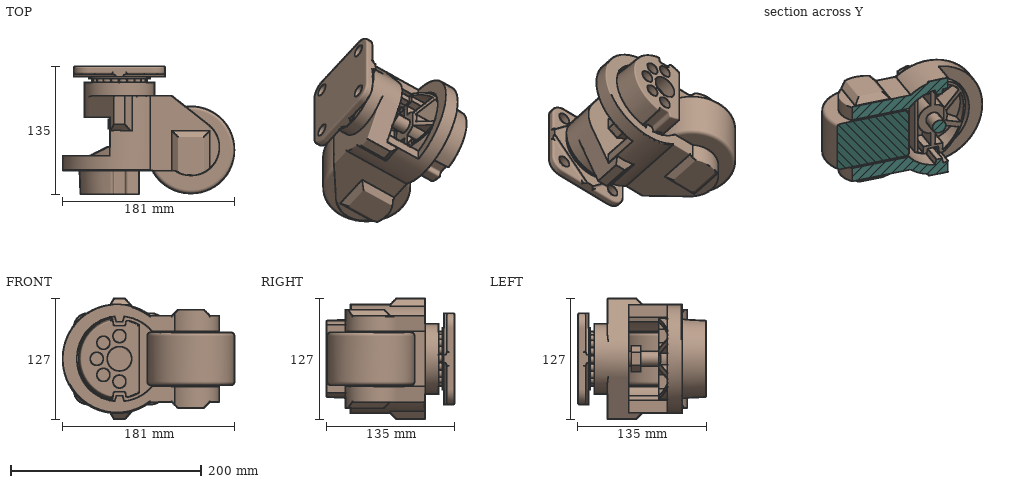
import cadquery as cq
import math


PLATE_DEPTH = 11.4
WASHER_DEPTH = 13.0
HOUSING_START = 17.0
FORK_START = 31.1
WALL_END = 53.8
RING_START = 94.1
FORK_END = 109.9
PLUG_END = 135.0

PLATE_HALF = 48.1
PLATE_CORNER_RADIUS = 15.2
PLATE_EDGE_ROUND = 2.2
POCKET_FLOOR_DEPTH = 8.5
POCKET_WALL_OFFSET = 37.0
POCKET_FILLET = 2.2
BOLT_PLACE = PLATE_HALF - PLATE_CORNER_RADIUS
BOLT_HOLE_RADIUS = 6.7

WASHER_RADIUS = 32.5
BALL_COUNT = 18
BALL_RADIUS = 4.0
BALL_CIRCLE_RADIUS = 25.2
FIRST_BALL_ANGLE = 101.5
HOUSING_RADIUS = 37.1

ROD_RADIUS = 7.8
NUT_START = 56.1
NUT_THICKNESS = 10.0
NUT_ACROSS_CORNERS = 27.5

RING_RADIUS = 57.4
RING_CENTRE_X = -2.5
BORE_RADIUS = 44.9
WINDOW_FACE_X = -10.1
EDGE_ROUND = 0.9
ARM_OUTER_Z = 45.5
SLOT_HALF = 29.0
ARM_END_X = 75.3
ARM_END_DEPTH = 85.3
ARM_END_RADIUS = 29.9
WALL_END_X = 55.0
BOSS_TOP_Z = 51.8
BOSS_LEFT_X = 55.2
BOSS_RIGHT_X = 95.0
BOSS_START = 68.0
BOSS_EDGE_ROUND = 0.7

LUG_TOP_Z = 63.5
LUG_LEFT_X = -5.8
LUG_RIGHT_X = 5.8
LUG_FOOT_X = 13.8
LUG_FOOT_Z = 54.7
LUG_END = 61.4
LUG_FOOT_DEPTH = 68.0

TAB_TIP_Z = 39.0
TAB_TIP_HALF = 3.3
TAB_ROOT_HALF = 4.9
TAB_ROOT_Z = 44.0
TAB_BURIED_Z = 46.7
NOTCH_FLOOR_Z = 34.8
NOTCH_FLOOR_HALF = 6.2
NOTCH_MOUTH_HALF = 7.6
NOTCH_MOUTH_Z = 45.6
NOTCH_ROUND = 1.8
NOTCH_LIP_ROUND = 2.2
NOTCH_LIP_Z = 39.3

PLUG_START = 84.9
PLUG_START_RADIUS = 43.8
PLUG_END_RADIUS = 41.3
PLUG_FLAT_X = 20.6
PLUG_EDGE_ROUND = 1.5
PLUG_SLOPE_X = -12.5
PLUG_SLOPE_FAR_X = -30.8
CUP_FLOOR_DEPTH = 108.6
CUP_RADIUS = 40.5
CUP_FLAT_X = 17.2
HUB_RADIUS = 17.0
RIB_THICKNESS = 5.5
RIB_ANGLES = (90, 150, 210, 270)
CENTRE_HOLE_RADIUS = 12.9
SMALL_HOLE_RADIUS = 6.9
HOLE_CIRCLE_RADIUS = 23.9
SMALL_HOLE_ANGLES = (90, 135, 180, 225, 270)
HOLE_DEPTH = 15.0

WHEEL_X = 75.1
WHEEL_DEPTH = 88.1
WHEEL_RADIUS = 46.0
WHEEL_HALF_WIDTH = 27.9
WHEEL_ROUND = 3.8
WHEEL_CLEARANCE = 1.0

REACH = 181.0


def at_depth(depth):
    """Plane facing -Y at the given depth; its axes are X and Z."""
    return cq.Workplane("XZ").workplane(offset=depth)


def disc(radius, start, end, x=0.0, z=0.0):
    return at_depth(start).center(x, z).circle(radius).extrude(end - start)


def block(x_min, x_max, depth_min, depth_max, half_z):
    size_x = x_max - x_min
    size_y = depth_max - depth_min
    middle = ((x_min + x_max) / 2, -(depth_min + depth_max) / 2, 0)
    return cq.Workplane("XY").box(size_x, size_y, 2 * half_z).translate(middle)


def with_mirror(shape):
    """The shape together with its mirror image below Z = 0."""
    return shape.union(shape.mirror("XY"))


def rounded_square(thickness):
    side = 2 * PLATE_HALF
    return at_depth(0).rect(side, side).extrude(thickness).edges("|Y").fillet(PLATE_CORNER_RADIUS)


def mounting_plate():
    plate = rounded_square(POCKET_FLOOR_DEPTH).faces(">Y or <Y").edges().fillet(PLATE_EDGE_ROUND)

    wall_cut = block(POCKET_WALL_OFFSET, REACH, POCKET_FLOOR_DEPTH, REACH, REACH)
    wall_cut = wall_cut.edges("<X and >Y").fillet(POCKET_FILLET)
    floor_start = POCKET_WALL_OFFSET + POCKET_FILLET
    floor_cut = block(floor_start, REACH, POCKET_FLOOR_DEPTH - PLATE_EDGE_ROUND, REACH, REACH)
    pocket = wall_cut.union(floor_cut)
    field = rounded_square(PLATE_DEPTH).faces(">Y").edges().fillet(PLATE_EDGE_ROUND)
    for corner in range(4):
        field = field.cut(pocket.rotate((0, 0, 0), (0, 1, 0), 45 + 90 * corner))
    plate = plate.union(field)

    places = [(sx * BOLT_PLACE, sz * BOLT_PLACE) for sx in (-1, 1) for sz in (-1, 1)]
    holes = at_depth(0).pushPoints(places).circle(BOLT_HOLE_RADIUS).extrude(PLATE_DEPTH)
    return plate.cut(holes)


def bearing():
    bodies = disc(WASHER_RADIUS, PLATE_DEPTH, WASHER_DEPTH)
    middle = (WASHER_DEPTH + HOUSING_START) / 2
    for index in range(BALL_COUNT):
        angle = math.radians(FIRST_BALL_ANGLE + index * 360 / BALL_COUNT)
        x = BALL_CIRCLE_RADIUS * math.cos(angle)
        z = BALL_CIRCLE_RADIUS * math.sin(angle)
        ball = cq.Workplane("XY").sphere(BALL_RADIUS).translate((x, -middle, z))
        bodies = bodies.union(ball)
    return bodies


def arm_outline():
    """Side outline of the fork arms: sloped behind, round at the wheel end."""
    corner = (WALL_END_X, -FORK_START)
    dx = ARM_END_X - WALL_END_X
    dy = FORK_START - ARM_END_DEPTH
    distance = math.hypot(dx, dy)
    tangent = math.atan2(dy, dx) + math.asin(ARM_END_RADIUS / distance)
    length = math.sqrt(distance**2 - ARM_END_RADIUS**2)
    touch = (corner[0] + length * math.cos(tangent), corner[1] + length * math.sin(tangent))
    front_x = ARM_END_X - math.sqrt(ARM_END_RADIUS**2 - (FORK_END - ARM_END_DEPTH) ** 2)
    diagonal = ARM_END_RADIUS * math.sqrt(0.5)
    arc_middle = (ARM_END_X + diagonal, -ARM_END_DEPTH - diagonal)
    return (
        cq.Workplane("XY")
        .moveTo(0, -FORK_START)
        .lineTo(*corner)
        .lineTo(*touch)
        .threePointArc(arc_middle, (front_x, -FORK_END))
        .lineTo(0, -FORK_END)
        .close()
    )


def arm_block(half_z):
    return arm_outline().extrude(2 * half_z).translate((0, 0, -half_z))


def boss_footprint(z):
    middle_x = (BOSS_LEFT_X + BOSS_RIGHT_X) / 2
    middle_y = -(BOSS_START + REACH) / 2
    plane = cq.Workplane("XY").workplane(offset=z).center(middle_x, middle_y)
    return plane.rect(BOSS_RIGHT_X - BOSS_LEFT_X, REACH - BOSS_START)


def arms_with_bosses():
    """Fork arms, each with a raised pad that has 45 degree ramps on three sides."""
    arms = arm_block(ARM_OUTER_Z).faces("<Z or >Z").edges().fillet(EDGE_ROUND)
    pad = boss_footprint(ARM_OUTER_Z).extrude(BOSS_TOP_Z - ARM_OUTER_Z, taper=45)
    foot = boss_footprint(SLOT_HALF).extrude(ARM_OUTER_Z - SLOT_HALF)
    boss = pad.union(foot).intersect(arm_block(BOSS_TOP_Z))
    boss = boss.faces(">Z").edges().fillet(BOSS_EDGE_ROUND)
    return arms.union(with_mirror(boss))


def lug_wall():
    """Rear wall whose sloped sides run from the lugs, tangent to the housing."""
    distance = math.hypot(LUG_LEFT_X, LUG_TOP_Z)
    angle = math.atan2(LUG_TOP_Z, LUG_LEFT_X) + math.acos(HOUSING_RADIUS / distance)
    touch_x = HOUSING_RADIUS * math.cos(angle)
    touch_z = HOUSING_RADIUS * math.sin(angle)
    profile = [
        (touch_x, -touch_z),
        (touch_x, touch_z),
        (LUG_LEFT_X, LUG_TOP_Z),
        (LUG_RIGHT_X, LUG_TOP_Z),
        (LUG_FOOT_X, LUG_FOOT_Z),
        (LUG_FOOT_X, -LUG_FOOT_Z),
        (LUG_RIGHT_X, -LUG_TOP_Z),
        (LUG_LEFT_X, -LUG_TOP_Z),
    ]
    wall = at_depth(FORK_START).polyline(profile).close().extrude(LUG_FOOT_DEPTH - FORK_START)
    wall = wall.faces(">Y").edges().fillet(EDGE_ROUND)

    ramp = [
        (-LUG_END, LUG_TOP_Z),
        (-LUG_FOOT_DEPTH, LUG_TOP_Z),
        (-LUG_FOOT_DEPTH, LUG_TOP_Z - LUG_FOOT_DEPTH + LUG_END),
    ]
    ramp_cut = cq.Workplane("YZ").polyline(ramp).close().extrude(REACH, both=True)
    wall = wall.cut(with_mirror(ramp_cut))
    return wall.cut(block(-REACH, WINDOW_FACE_X, WALL_END, REACH, REACH))


def guide_tabs():
    profile = [
        (-TAB_ROOT_HALF, TAB_BURIED_Z),
        (-TAB_ROOT_HALF, TAB_ROOT_Z),
        (-TAB_TIP_HALF, TAB_TIP_Z),
        (TAB_TIP_HALF, TAB_TIP_Z),
        (TAB_ROOT_HALF, TAB_ROOT_Z),
        (TAB_ROOT_HALF, TAB_BURIED_Z),
    ]
    return with_mirror(at_depth(WALL_END).polyline(profile).close().extrude(FORK_END - WALL_END))


def fork():
    shell = disc(RING_RADIUS, FORK_START, FORK_END, RING_CENTRE_X)
    shell = shell.faces("<Y or >Y").edges().fillet(EDGE_ROUND)
    body = shell.union(arms_with_bosses())
    body = body.cut(block(-REACH, WINDOW_FACE_X, 0, RING_START, REACH))
    body = body.cut(block(-REACH, LUG_LEFT_X, 0, WALL_END, REACH))
    body = body.union(lug_wall())

    body = body.cut(disc(BORE_RADIUS, WALL_END, FORK_END))
    body = body.cut(block(0, REACH, WALL_END, REACH, SLOT_HALF))
    body = body.cut(block(WALL_END_X, REACH, 0, REACH, SLOT_HALF))
    sweep = cq.Workplane("XY").center(WHEEL_X, -WHEEL_DEPTH).circle(WHEEL_RADIUS + WHEEL_CLEARANCE)
    body = body.cut(sweep.extrude(SLOT_HALF, both=True))
    return body.union(guide_tabs())


def rod_and_nut():
    nut = at_depth(NUT_START).polygon(6, NUT_ACROSS_CORNERS).extrude(NUT_THICKNESS)
    nut = nut.rotate((0, 0, 0), (0, 1, 0), 30)
    return disc(ROD_RADIUS, WALL_END, CUP_FLOOR_DEPTH).union(nut)


def plug():
    body = (
        cq.Workplane("XY")
        .moveTo(0, -PLUG_START)
        .lineTo(PLUG_START_RADIUS, -PLUG_START)
        .lineTo(PLUG_END_RADIUS, -PLUG_END)
        .lineTo(0, -PLUG_END)
        .close()
        .revolve(360, (0, 0, 0), (0, 1, 0))
    )
    body = body.cut(block(PLUG_FLAT_X, REACH, 0, REACH, REACH))
    straight = block(0, REACH, 0, REACH, REACH).cut(disc(PLUG_END_RADIUS, 0, REACH))
    body = body.cut(straight)

    notch_profile = [
        (-NOTCH_FLOOR_HALF, NOTCH_FLOOR_Z),
        (NOTCH_FLOOR_HALF, NOTCH_FLOOR_Z),
        (NOTCH_MOUTH_HALF, NOTCH_MOUTH_Z),
        (-NOTCH_MOUTH_HALF, NOTCH_MOUTH_Z),
    ]
    notch = at_depth(0).polyline(notch_profile).close().extrude(REACH)
    notch = notch.edges("|Y and <Z").fillet(NOTCH_ROUND)
    body = body.cut(with_mirror(notch))
    for side in (-1, 1):
        inner = (-PLUG_FLAT_X / 2, -PLUG_END, side * NOTCH_LIP_Z)
        outer = (PLUG_FLAT_X / 2, -PLUG_START, side * REACH)
        lips = cq.selectors.BoxSelector(inner, outer)
        body = body.edges(lips).edges("not(#Y)").fillet(NOTCH_LIP_ROUND)
    body = body.faces("<Y").edges().fillet(PLUG_EDGE_ROUND)

    cup = disc(CUP_RADIUS, 0, CUP_FLOOR_DEPTH).cut(block(CUP_FLAT_X, REACH, 0, REACH, REACH))
    cup_wall = PLUG_FLAT_X - CUP_FLAT_X
    around_notch = NOTCH_MOUTH_HALF + cup_wall
    notch_wall = block(-around_notch, around_notch, 0, REACH, REACH)
    notch_wall = notch_wall.cut(block(-around_notch, around_notch, 0, REACH, NOTCH_FLOOR_Z - cup_wall))
    cup = cup.cut(notch_wall).cut(disc(HUB_RADIUS, 0, REACH))
    rib = block(0, REACH, 0, REACH, RIB_THICKNESS / 2)
    for angle in RIB_ANGLES:
        cup = cup.cut(rib.rotate((0, 0, 0), (0, 1, 0), -angle))
    body = body.cut(cup)

    slope = [
        (PLUG_SLOPE_X, -PLUG_START),
        (2 * PLUG_SLOPE_FAR_X - PLUG_SLOPE_X, PLUG_START - 2 * RING_START),
        (2 * PLUG_SLOPE_FAR_X - PLUG_SLOPE_X, -PLUG_START),
    ]
    body = body.cut(cq.Workplane("XY").polyline(slope).close().extrude(REACH, both=True))

    body = body.cut(disc(CENTRE_HOLE_RADIUS, PLUG_END - HOLE_DEPTH, PLUG_END))
    for degrees in SMALL_HOLE_ANGLES:
        angle = math.radians(degrees)
        x = HOLE_CIRCLE_RADIUS * math.cos(angle)
        z = HOLE_CIRCLE_RADIUS * math.sin(angle)
        body = body.cut(disc(SMALL_HOLE_RADIUS, PLUG_END - HOLE_DEPTH, PLUG_END, x, z))
    return body


def caster_frame():
    """Plate, bearing, housing, fork, rod and plug, joined along the swivel axis."""
    housing = disc(HOUSING_RADIUS, HOUSING_START, WALL_END)
    frame = fork().union(housing).union(bearing()).union(mounting_plate())
    return frame.union(rod_and_nut()).union(plug())


def caster_wheel():
    wheel = cq.Workplane("XY").center(WHEEL_X, -WHEEL_DEPTH).circle(WHEEL_RADIUS)
    wheel = wheel.extrude(2 * WHEEL_HALF_WIDTH).translate((0, 0, -WHEEL_HALF_WIDTH))
    return wheel.faces("<Z or >Z").edges().fillet(WHEEL_ROUND)


frame = caster_frame()
wheel = caster_wheel()
result = cq.Compound.makeCompound([frame.val(), wheel.val()])